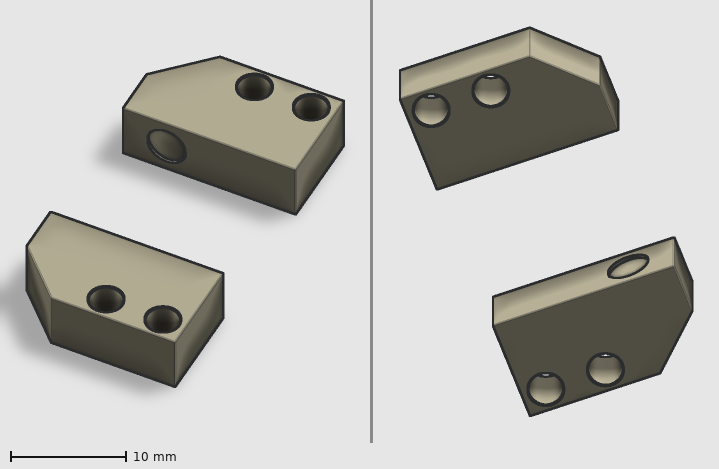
import cadquery as cq
pair_span = 32.8
block_length = 16.8
block_width = 9.4
block_height = 5.6

corner_cut = 4.75
edge_radius = 0.1

hole_diameter = 3.02
hole_rim_chamfer = 0.1
hole_spacing = 5.5
hole_end_offset = 2.2
hole_side_offset = 2.0

recess_diameter = 3.75
recess_depth = 0.33
recess_end_offset = 4.25

outer_y = pair_span / 2
inner_y = outer_y - block_width


def rounded_body():
    """Block with its outer corner at low X cut off and every edge rounded."""
    outline = [
        (0, inner_y),
        (block_length, inner_y),
        (block_length, outer_y),
        (corner_cut, outer_y),
        (0, outer_y - corner_cut),
    ]
    body = cq.Workplane("XY").polyline(outline).close().extrude(block_height)
    return body.edges().fillet(edge_radius)


def screw_hole(x):
    """Cutter for a through hole with a chamfered rim at both ends."""
    radius = hole_diameter / 2
    rim_radius = radius + hole_rim_chamfer
    profile = [
        (0, 0),
        (rim_radius, 0),
        (radius, hole_rim_chamfer),
        (radius, block_height - hole_rim_chamfer),
        (rim_radius, block_height),
        (0, block_height),
    ]
    cutter = cq.Workplane("XZ").polyline(profile).close().revolve(360, (0, 0), (0, 1))
    return cutter.translate((x, outer_y - hole_side_offset, 0))


def domed_recess():
    """Cutter for the round recess whose floor bulges back towards its mouth."""
    radius = recess_diameter / 2
    dome_radius = (radius**2 + recess_depth**2) / (2 * recess_depth)
    pocket = cq.Workplane("XZ").circle(radius).extrude(-recess_depth)
    dome = cq.Workplane("XY").sphere(dome_radius).translate((0, dome_radius, 0))
    return pocket.cut(dome).translate((recess_end_offset, inner_y, block_height / 2))


def clamp_block():
    """Complete block on the +Y side."""
    block = rounded_body()
    end_hole_x = block_length - hole_end_offset
    for x in (end_hole_x, end_hole_x - hole_spacing):
        block = block.cut(screw_hole(x))
    return block.cut(domed_recess())


rear_block = clamp_block()
front_block = rear_block.mirror("XZ")

result = cq.Compound.makeCompound([rear_block.val(), front_block.val()])